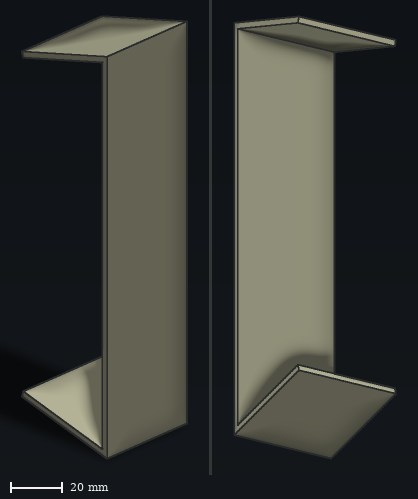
import cadquery as cq
import math

height = 171.0
depth = 45.3
width = 45.0
thickness = 2.5
flange_angle = math.radians(15)

half_height = height / 2
tip_drop = depth * math.tan(flange_angle)
inner_corner_drop = thickness / math.cos(flange_angle) + thickness * math.tan(flange_angle)

outer_corner = (0, half_height)
outer_tip = (-depth, half_height - tip_drop)
inner_tip = (
    outer_tip[0] + thickness * math.sin(flange_angle),
    outer_tip[1] - thickness * math.cos(flange_angle),
)
inner_corner = (-thickness, half_height - inner_corner_drop)

upper_half = [outer_corner, outer_tip, inner_tip, inner_corner]
lower_half = [(x, -z) for x, z in reversed(upper_half)]

result = (
    cq.Workplane("XZ")
    .polyline(upper_half + lower_half)
    .close()
    .extrude(width / 2, both=True)
)